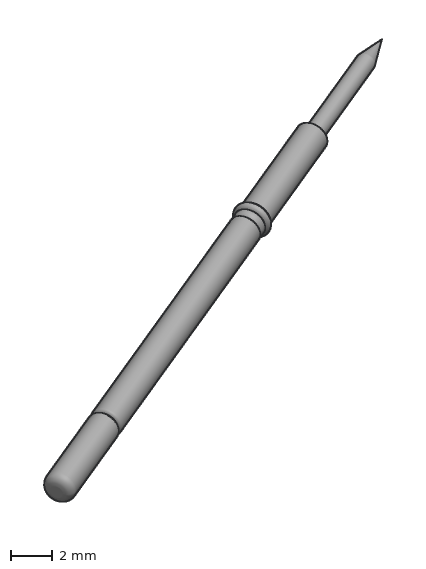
import cadquery as cq
import math

length = 37.0
tip_y = length / 2
rear_y = -length / 2

plunger_diameter = 1.0
plunger_radius = plunger_diameter / 2
cone_length = 1.85
plunger_exposed = 7.95

barrel_diameter = 1.65
barrel_radius = barrel_diameter / 2
rear_fillet = 0.48

collar_radius = 1.0
collar_front = 14.5
collar_width = 0.5

stop_groove_front = 15.2
stop_groove_width = 0.37

crimp_center = 31.5
crimp_width = 0.45

groove_depth = 0.2


def ring(profile):
    """Revolve a closed (radius, y) profile about the Y axis."""
    return profile.close().revolve(360, (0, 0, 0), (0, 1, 0))


def lip_radius(run):
    """Radius of a lip that leaves the barrel tangentially and drops by the groove depth over run."""
    return (run**2 + groove_depth**2) / (2 * groove_depth)


def make_plunger():
    profile = (
        cq.Workplane("XY")
        .moveTo(0, tip_y)
        .lineTo(plunger_radius, tip_y - cone_length)
        .lineTo(plunger_radius, tip_y - plunger_exposed)
        .lineTo(0, tip_y - plunger_exposed)
    )
    return ring(profile)


def make_barrel():
    barrel_length = length - plunger_exposed
    barrel = cq.Workplane("XZ", origin=(0, rear_y, 0)).circle(barrel_radius).extrude(-barrel_length)
    return barrel.faces("<Y").edges().fillet(rear_fillet)


def make_collar():
    front = tip_y - collar_front
    rear = front - collar_width
    profile = (
        cq.Workplane("XY")
        .moveTo(0, front)
        .lineTo(barrel_radius, front)
        .threePointArc((collar_radius, (front + rear) / 2), (barrel_radius, rear))
        .lineTo(0, rear)
    )
    return ring(profile)


def make_lip_cutter(lip_y, valley_y):
    """Ring between the rounded lip, starting at lip_y, and the plane of the groove valley."""
    valley_radius = barrel_radius - groove_depth
    radius = lip_radius(abs(valley_y - lip_y))
    lip_center = barrel_radius - radius
    mid_y = (lip_y + valley_y) / 2
    mid_radius = lip_center + math.sqrt(radius**2 - (mid_y - lip_y) ** 2)
    profile = (
        cq.Workplane("XY")
        .moveTo(barrel_radius, lip_y)
        .threePointArc((mid_radius, mid_y), (valley_radius, valley_y))
        .lineTo(collar_radius, valley_y)
        .lineTo(collar_radius, lip_y)
    )
    return ring(profile)


stop_lip_y = tip_y - stop_groove_front
stop_valley_y = stop_lip_y - stop_groove_width
crimp_y = tip_y - crimp_center

result = make_barrel().union(make_plunger()).union(make_collar())
result = result.cut(make_lip_cutter(stop_lip_y, stop_valley_y))
for side in (-1, 1):
    result = result.cut(make_lip_cutter(crimp_y + side * crimp_width / 2, crimp_y))